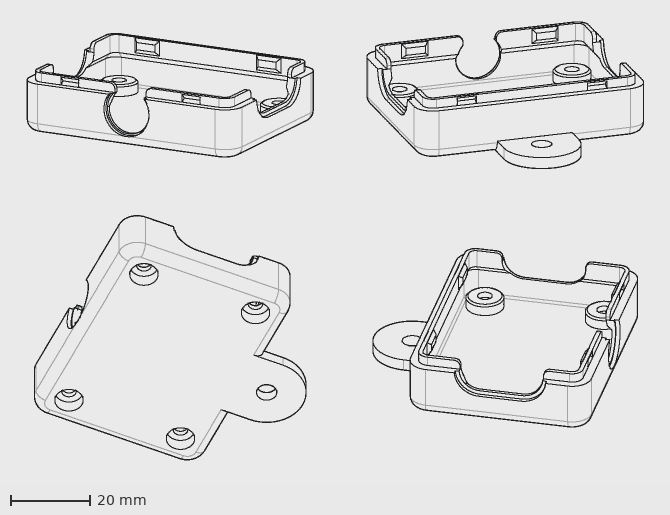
import cadquery as cq
import math

length = 61.0
width = 47.0
body_height = 13.0
total_height = 15.4
corner_radius = 5.0
bottom_radius = 2.6
wall = 2.0
floor = 2.0

lip_inset = 2.15
lip_thickness = 1.1
lip_inner_inset = lip_inset + lip_thickness
thickening_start = 9.2
thickening_end = 10.7

tab_width = 20.0
tab_thickness = 3.0
tab_hole_diameter = 5.12
tab_hole_distance = 5.52

post_spacing_x = 46.0
post_spacing_y = 31.0
post_diameter = 9.6
post_top = 5.0
post_chamfer = 0.5
screw_diameter = 3.7
screw_head_diameter = 7.2
screw_head_depth = 3.5

recess_depth = 1.1
flare_radius = 1.5
cable_radius = 6.0
cable_recess_radius = 6.45
cable_height = 9.0
side_opening_half_width = 10.85
side_opening_bottom = 8.0
side_opening_radius = 5.4
side_recess_margin = 1.0
left_opening_y = -0.85
right_opening_y = 1.2

snap_x = 17.4
groove_length = 5.1
groove_top = 15.03
groove_apex = 13.8
groove_depth = 1.1
bump_length = 7.0
bump_bottom = 11.3
bump_top = 15.2
bump_depth = 0.9
bump_end_taper = 0.9
bump_lower_taper = 1.1
bump_upper_taper = 0.9


def rounded_block(inset, bottom, top):
    """Block following the tray outline, moved inwards by inset."""
    block = cq.Workplane("XY").workplane(offset=bottom)
    block = block.rect(length - 2 * inset, width - 2 * inset).extrude(top - bottom)
    return block.edges("|Z").fillet(corner_radius - inset)


def make_solid_body():
    body = rounded_block(0, 0, body_height).faces("<Z").edges().fillet(bottom_radius)
    lip = rounded_block(lip_inset, body_height, total_height)
    return body.union(lip)


def make_cavity():
    """Inside space: wide with a filleted floor, narrowing to the width inside the lip."""
    lower = rounded_block(wall, floor, thickening_start)
    lower = lower.faces("<Z").edges().fillet(bottom_radius - floor)
    wide = cq.Sketch().rect(length - 2 * wall, width - 2 * wall)
    wide = wide.vertices().fillet(corner_radius - wall)
    narrow = cq.Sketch().rect(length - 2 * lip_inner_inset, width - 2 * lip_inner_inset)
    narrow = narrow.vertices().fillet(corner_radius - lip_inner_inset)
    rise = cq.Location(cq.Vector(0, 0, thickening_end - thickening_start))
    taper = cq.Workplane("XY", origin=(0, 0, thickening_start))
    taper = taper.placeSketch(wide, narrow.moved(rise)).loft()
    upper = rounded_block(lip_inner_inset, thickening_end, total_height)
    return lower.union(taper).union(upper)


def make_tab():
    edge = width / 2
    root = edge - bottom_radius
    centre = edge + tab_hole_distance
    radius = tab_width / 2
    hole = cq.Workplane("XY").center(0, centre).circle(tab_hole_diameter / 2).extrude(tab_thickness)
    return (
        cq.Workplane("XY")
        .moveTo(-radius, root)
        .lineTo(radius, root)
        .lineTo(radius, centre)
        .threePointArc((0, centre + radius), (-radius, centre))
        .close()
        .extrude(tab_thickness)
        .cut(hole)
    )


def at_posts():
    return cq.Workplane("XY").rarray(post_spacing_x, post_spacing_y, 2, 2)


def add_posts(part):
    posts = at_posts().circle(post_diameter / 2).extrude(post_top - floor)
    posts = posts.faces(">Z").edges().chamfer(post_chamfer).translate((0, 0, floor))
    part = part.union(posts)
    part = part.cut(at_posts().circle(screw_diameter / 2).extrude(post_top))
    return part.cut(at_posts().circle(screw_head_diameter / 2).extrude(screw_head_depth))


def below_ledge(cutter):
    """The part of a cutter that lies inside the body, below the ledge around the lip."""
    body_box = cq.Workplane("XY").box(length, width, body_height, centered=(True, True, False))
    return cutter.intersect(body_box)


def lip_gap(plane, half_width, bottom, depth):
    """Gap in the lip whose upper corners flare outwards."""
    flare_start = total_height - flare_radius
    flare_half_width = half_width + flare_radius
    arc_inset = flare_radius * (1 - math.sqrt(0.5))
    arc_x = half_width + arc_inset
    arc_z = total_height - arc_inset
    return (
        plane.moveTo(-half_width, bottom)
        .lineTo(half_width, bottom)
        .lineTo(half_width, flare_start)
        .threePointArc((arc_x, arc_z), (flare_half_width, total_height))
        .lineTo(-flare_half_width, total_height)
        .threePointArc((-arc_x, arc_z), (-half_width, flare_start))
        .close()
        .extrude(-depth)
    )


def cut_cable_opening(part):
    front = cq.Workplane("XZ", origin=(0, -width / 2, 0))
    hole = front.center(0, cable_height).circle(cable_radius).extrude(-lip_inner_inset)
    recess = front.center(0, cable_height).circle(cable_recess_radius).extrude(-recess_depth)
    half_width = math.sqrt(cable_radius**2 - (body_height - cable_height) ** 2)
    gap = lip_gap(front, half_width, cable_height, lip_inner_inset)
    return part.cut(below_ledge(hole.union(recess))).cut(gap)


def side_profile(plane, margin, depth):
    """Wide opening with quarter-round lower corners, up to the ledge."""
    radius = side_opening_radius + margin
    half_width = side_opening_half_width + margin
    bottom = side_opening_bottom - margin
    height = total_height - bottom
    return (
        plane.center(0, bottom + height / 2)
        .rect(2 * half_width, height)
        .extrude(-depth)
        .edges("|X and <Z")
        .fillet(radius)
    )


def cut_side_opening(part, side, y):
    plane = cq.Workplane(
        cq.Plane(origin=(side * length / 2, y, 0), xDir=(0, side, 0), normal=(side, 0, 0))
    )
    opening = side_profile(plane, 0, lip_inner_inset).union(
        side_profile(plane, side_recess_margin, recess_depth)
    )
    gap = lip_gap(plane, side_opening_half_width, body_height, lip_inner_inset)
    return part.cut(below_ledge(opening)).cut(gap)


def make_bump():
    """Bump on the inside of the -Y lip, tapering towards the inside."""
    base_y = -width / 2 + lip_inner_inset
    base_height = bump_top - bump_bottom
    tip_height = base_height - bump_lower_taper - bump_upper_taper
    base_z = (bump_bottom + bump_top) / 2
    tip_shift = (bump_lower_taper - bump_upper_taper) / 2
    return (
        cq.Workplane("XZ", origin=(0, base_y, base_z))
        .rect(bump_length, base_height)
        .workplane(offset=-bump_depth)
        .center(0, tip_shift)
        .rect(bump_length - 2 * bump_end_taper, tip_height)
        .loft()
    )


def make_groove():
    """V-shaped groove in the outside of the -Y lip."""
    outer_y = -width / 2 + lip_inset
    return (
        cq.Workplane("YZ", origin=(-groove_length / 2, 0, 0))
        .moveTo(outer_y, body_height)
        .lineTo(outer_y + groove_depth, groove_apex)
        .lineTo(outer_y, groove_top)
        .close()
        .extrude(groove_length)
    )


def add_snaps(part):
    bump = make_bump()
    groove = make_groove()
    for turn in (0, 180):
        for x in (-snap_x, snap_x):
            part = part.union(bump.translate((x, 0, 0)).rotate((0, 0, 0), (0, 0, 1), turn))
            part = part.cut(groove.translate((x, 0, 0)).rotate((0, 0, 0), (0, 0, 1), turn))
    return part


result = make_solid_body().union(make_tab()).cut(make_cavity())
result = add_posts(result)
result = cut_cable_opening(result)
result = cut_side_opening(result, -1, left_opening_y)
result = cut_side_opening(result, 1, right_opening_y)
result = add_snaps(result)